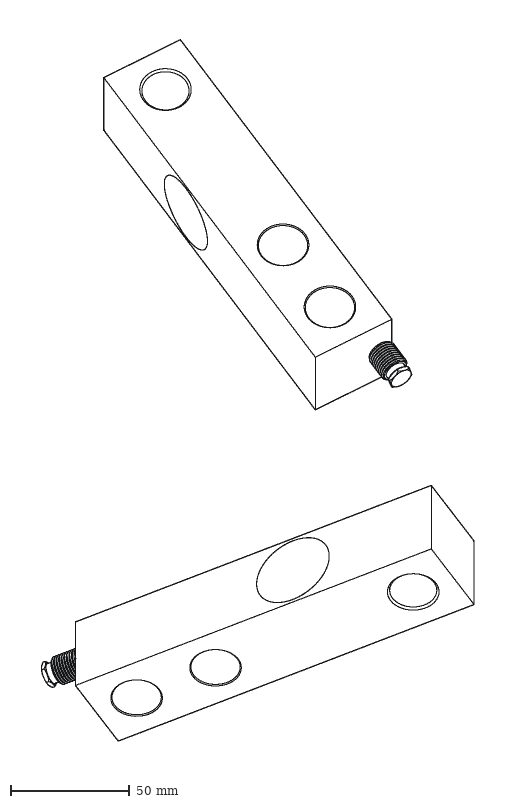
import cadquery as cq
import math

BEAM_LENGTH = 171.6
BEAM_SIDE = 38.0
HALF_SIDE = BEAM_SIDE / 2

HOLE_POSITIONS = (19.0, 114.3, 152.4)
HOLE_DIAMETERS = (20.0, 21.0, 21.0)
HOLE_MOUTH_DIAMETER = 21.9

CAP_DIAMETER = 35.0
CAP_HEIGHT = 0.05
CAP_X = (HOLE_POSITIONS[0] + HOLE_POSITIONS[1]) / 2

TOTAL_LENGTH = 188.4
CONNECTOR_OVERHANG = 0.72
CONNECTOR_TURN = 102.5

SLEEVE_LENGTH = 11.9
SLEEVE_CHAMFER = 0.4
RIDGE_DIAMETER = 12.6
RIDGE_RADIUS = RIDGE_DIAMETER / 2
RIDGE_HEIGHT = 0.5
RIDGE_PITCH = 1.22
RIDGE_CREST = 0.08
RIDGE_FLANK = 0.47
RIDGE_COUNT = 9
RIDGE_START = 0.62
ROOT_RADIUS = RIDGE_RADIUS - RIDGE_HEIGHT

CONNECTOR_Y = HALF_SIDE + CONNECTOR_OVERHANG - RIDGE_RADIUS

NECK_LENGTH = 2.8
NECK_RADIUS = 4.5

HEX_START = SLEEVE_LENGTH + NECK_LENGTH
HEX_LENGTH = TOTAL_LENGTH - BEAM_LENGTH - HEX_START
HEX_SIDES = 6
HEX_CORNER_DIAMETER = 11.5
HEX_CORNER_RADIUS = HEX_CORNER_DIAMETER / 2
HEX_FACE_RADIUS = 4.9
HEX_CHAMFER_ANGLE = math.radians(30)
HEX_CHAMFER_LENGTH = (HEX_CORNER_RADIUS - HEX_FACE_RADIUS) * math.tan(HEX_CHAMFER_ANGLE)


def make_beam():
    beam = cq.Workplane("XY").box(BEAM_LENGTH, BEAM_SIDE, BEAM_SIDE, centered=(False, True, True))
    caps = (
        cq.Workplane("XZ", origin=(CAP_X, 0, 0))
        .circle(CAP_DIAMETER / 2)
        .extrude(HALF_SIDE + CAP_HEIGHT, both=True)
    )
    beam = beam.union(caps)
    for x, diameter in zip(HOLE_POSITIONS, HOLE_DIAMETERS):
        beam = beam.cut(bolt_hole(x, diameter / 2))
    return beam


def bolt_hole(x, radius):
    mouth_radius = HOLE_MOUTH_DIAMETER / 2
    chamfer = mouth_radius - radius
    return (
        cq.Workplane("YZ", origin=(x, 0, 0))
        .moveTo(0, -HALF_SIDE)
        .lineTo(mouth_radius, -HALF_SIDE)
        .lineTo(radius, -HALF_SIDE + chamfer)
        .lineTo(radius, HALF_SIDE - chamfer)
        .lineTo(mouth_radius, HALF_SIDE)
        .lineTo(0, HALF_SIDE)
        .close()
        .revolve(360, (0, 0, 0), (0, 1, 0))
    )


def revolve_about_x(profile):
    return cq.Workplane("XY").polyline(profile).close().revolve(360, (0, 0, 0), (1, 0, 0))


def sleeve_and_neck():
    profile = [(0, 0), (0, ROOT_RADIUS)]
    for ridge in range(RIDGE_COUNT):
        start = RIDGE_START + ridge * RIDGE_PITCH
        profile += [
            (start, ROOT_RADIUS),
            (start + RIDGE_FLANK, RIDGE_RADIUS),
            (start + RIDGE_FLANK + RIDGE_CREST, RIDGE_RADIUS),
            (start + 2 * RIDGE_FLANK + RIDGE_CREST, ROOT_RADIUS),
        ]
    profile += [
        (SLEEVE_LENGTH - SLEEVE_CHAMFER, ROOT_RADIUS),
        (SLEEVE_LENGTH, ROOT_RADIUS - SLEEVE_CHAMFER),
        (SLEEVE_LENGTH, NECK_RADIUS),
        (HEX_START, NECK_RADIUS),
        (HEX_START, 0),
    ]
    return revolve_about_x(profile)


def hex_end():
    hexagon = (
        cq.Workplane("YZ", origin=(HEX_START, 0, 0))
        .polygon(HEX_SIDES, HEX_CORNER_DIAMETER)
        .extrude(HEX_LENGTH)
    )
    hex_stop = HEX_START + HEX_LENGTH
    chamfer_envelope = revolve_about_x([
        (HEX_START, 0),
        (HEX_START, HEX_FACE_RADIUS),
        (HEX_START + HEX_CHAMFER_LENGTH, HEX_CORNER_RADIUS),
        (hex_stop - HEX_CHAMFER_LENGTH, HEX_CORNER_RADIUS),
        (hex_stop, HEX_FACE_RADIUS),
        (hex_stop, 0),
    ])
    return hexagon.intersect(chamfer_envelope)


def make_connector():
    connector = sleeve_and_neck().union(hex_end())
    connector = connector.rotate((0, 0, 0), (1, 0, 0), CONNECTOR_TURN)
    return connector.translate((BEAM_LENGTH, CONNECTOR_Y, 0))


beam = make_beam()
connector = make_connector()

result = cq.Compound.makeCompound([beam.val(), connector.val()])